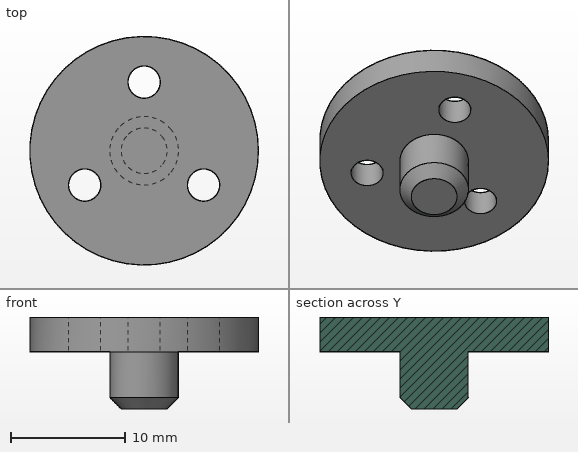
import cadquery as cq

disc_diameter = 20.0
disc_thickness = 3.0

stem_diameter = 6.0
stem_length = 5.0
stem_chamfer = 1.0

hole_count = 3
hole_diameter = 2.8
hole_circle_radius = 6.0
first_hole_angle = 90.0


def make_disc():
    """Flat disc with its underside on the XY plane."""
    return cq.Workplane("XY").circle(disc_diameter / 2).extrude(disc_thickness)


def make_stem():
    """Round stem hanging from the disc, chamfered at its free end."""
    stem = cq.Workplane("XY").circle(stem_diameter / 2).extrude(-stem_length)
    return stem.faces("<Z").chamfer(stem_chamfer)


def make_holes():
    """Cylinders that pierce the full thickness of the disc."""
    return (
        cq.Workplane("XY")
        .polarArray(hole_circle_radius, first_hole_angle, 360, hole_count)
        .circle(hole_diameter / 2)
        .extrude(disc_thickness)
    )


result = make_disc().cut(make_holes()).union(make_stem())